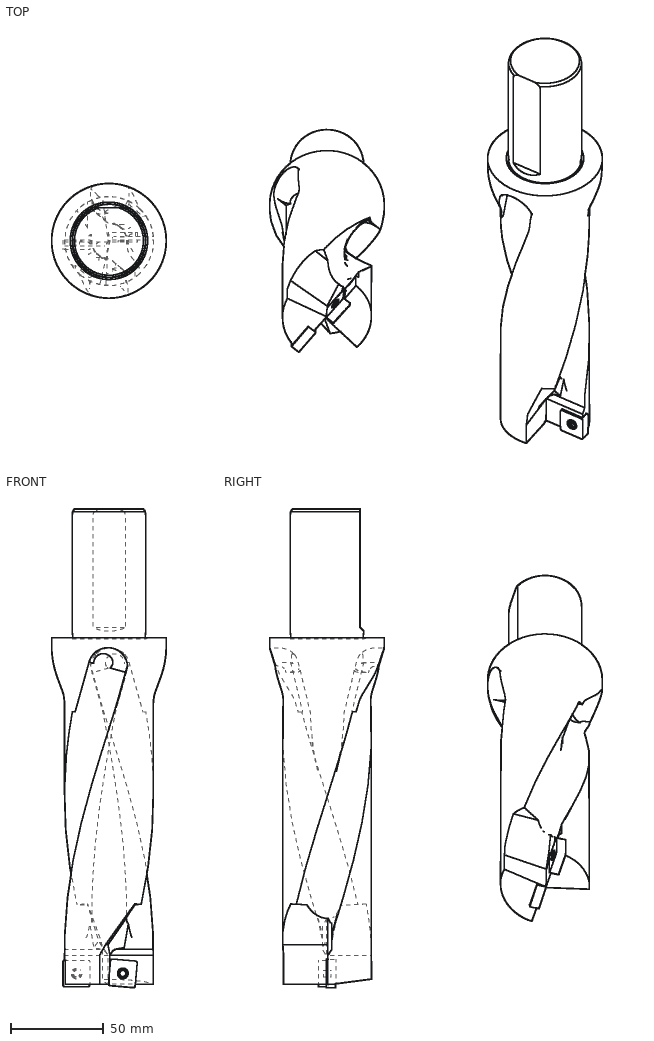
import cadquery as cq
import math

TOTAL_LENGTH = 260.0

SHANK_RADIUS = 40.0 / 2
SHANK_RELIEF_RADIUS = 39.5 / 2
SHANK_END_RADIUS = 18.7
SHANK_CHAMFER_HEIGHT = 1.5
SHANK_RELIEF_HEIGHT = 3.5
UNDERCUT_HEIGHT = 1.5
UNDERCUT_TAPER = 1.0
FLAT_OFFSET = 18.0
FLAT_BOTTOM = 195.8

FLANGE_RADIUS = 31.2
FLANGE_TOP = 190.0
FLANGE_RIM_BOTTOM = 185.5
FLANGE_GROOVE_RADIUS = 21.0
FLANGE_GROOVE_DEPTH = 0.5
BELL_RADIUS = 52.0
BELL_BOTTOM = 154.7

BODY_RADIUS = 48.4 / 2
BODY_BOTTOM = 1.8
CLEARANCE_ANGLE = 7.5

FLUTE_TWIST_RATE = 0.75
FLUTE_TOP = 149.8
FLUTE_BOTTOM = 20.8
FLUTE_LEAD = (-19.8, -13.8)
FLUTE_LEAD_SLOPE = 0.3
FLUTE_HOLLOW = (-5.7, -9.4)
FLUTE_CORNER = (3.5, -14.8)
FLUTE_WALL_X = 2.9

RUNOUT_RADIUS = 10.7
RUNOUT_END_X = -0.5
RUNOUT_END_Z = 174.0
RUNOUT_BALL_Y = -25.7
RUNOUT_SIDE_SLOPE = 0.28
RUNOUT_RAMP = 0.24

POCKET_LAND_Y = 0.5
POCKET_RAKE_Y = 2.5
POCKET_LAND_TOP = 17.7
POCKET_STEP_TOP = 20.8
POCKET_WEB_X = 0.5
POCKET_RAKE_X = 2.5
POCKET_WALL_LEAN = 1.3
RAKE_KNEE = (8.3, 21.8)
RAKE_TOP = (11.5, 40.3)
INNER_POCKET_SIDE_X = -5.2
INNER_POCKET_KNEE = (-1.8, 23.5)
INNER_POCKET_TOP = (14.0, 45.8)
OUTER_POCKET_SIDE_X = 3.6
OUTER_POCKET_KNEE = (4.5, 25.7)
OUTER_POCKET_TOP = (11.7, 45.8)

INSERT_SIDE = 14.5
INSERT_CORNER = 1.0
INSERT_THICKNESS = 5.2
INSERT_RAKE_Y = -0.5
INNER_INSERT_X = 7.5
INNER_INSERT_TILT = 5.0
OUTER_INSERT_REACH = 25.0
OUTER_INSERT_BOTTOM = 0.5
SCREW_STEP_DIAMETERS = (5.7, 4.7, 3.5)
SCREW_STEP_DEPTHS = (0.5, 1.0, 2.5)

NOSE_MARGIN = 2.5
BEYOND = 36.5


def holder_blank():
    """Shank, flange, bell and drill body as one revolved shape."""
    bell_center_x = FLANGE_RADIUS - BELL_RADIUS
    across = BODY_RADIUS - bell_center_x
    drop = FLANGE_RIM_BOTTOM - BELL_BOTTOM
    fillet = (across**2 + drop**2 - BELL_RADIUS**2) / (2 * (BELL_RADIUS - across))
    joint_angle = math.atan2(drop, across + fillet)
    bell_foot = (
        bell_center_x + BELL_RADIUS * math.cos(joint_angle),
        FLANGE_RIM_BOTTOM - BELL_RADIUS * math.sin(joint_angle),
    )
    groove_floor = FLANGE_TOP - FLANGE_GROOVE_DEPTH
    undercut_top = FLANGE_TOP + UNDERCUT_HEIGHT
    return (
        cq.Workplane("XZ")
        .moveTo(0, 0)
        .lineTo(BODY_RADIUS, 0)
        .lineTo(BODY_RADIUS, BELL_BOTTOM)
        .spline(
            [bell_foot, (FLANGE_RADIUS, FLANGE_RIM_BOTTOM)],
            tangents=[(0, 1), (0, 1)],
            includeCurrent=True,
        )
        .lineTo(FLANGE_RADIUS, FLANGE_TOP)
        .lineTo(FLANGE_GROOVE_RADIUS, FLANGE_TOP)
        .lineTo(SHANK_RADIUS, groove_floor)
        .lineTo(SHANK_RELIEF_RADIUS, groove_floor)
        .lineTo(SHANK_RELIEF_RADIUS, undercut_top)
        .lineTo(SHANK_RADIUS, undercut_top + UNDERCUT_TAPER)
        .lineTo(SHANK_RADIUS, TOTAL_LENGTH - SHANK_RELIEF_HEIGHT)
        .lineTo(SHANK_RELIEF_RADIUS, TOTAL_LENGTH - SHANK_CHAMFER_HEIGHT)
        .lineTo(SHANK_END_RADIUS, TOTAL_LENGTH)
        .lineTo(0, TOTAL_LENGTH)
        .close()
        .revolve(360, (0, 0, 0), (0, 1, 0))
    )


def clamping_flat():
    """Cutter for the shank flat, with a 45 degree lower end."""
    return (
        cq.Workplane("YZ")
        .polyline(
            [
                (FLAT_OFFSET, FLAT_BOTTOM),
                (FLANGE_RADIUS, FLAT_BOTTOM - (FLANGE_RADIUS - FLAT_OFFSET)),
                (FLANGE_RADIUS, TOTAL_LENGTH),
                (FLAT_OFFSET, TOTAL_LENGTH),
            ]
        )
        .close()
        .extrude(FLANGE_RADIUS, both=True)
        .intersect(
            cq.Workplane("XY", origin=(0, 0, FLANGE_TOP))
            .circle(SHANK_RADIUS)
            .extrude(TOTAL_LENGTH - FLANGE_TOP)
        )
    )


def end_clearance():
    """Cutter that levels the nose and slopes it up towards +Y."""
    rise = BEYOND * math.tan(math.radians(CLEARANCE_ANGLE))
    return (
        cq.Workplane("YZ")
        .polyline(
            [
                (-BEYOND, -NOSE_MARGIN),
                (-BEYOND, BODY_BOTTOM),
                (POCKET_RAKE_Y, BODY_BOTTOM),
                (POCKET_RAKE_Y + BEYOND, BODY_BOTTOM + rise),
                (POCKET_RAKE_Y + BEYOND, -NOSE_MARGIN),
            ]
        )
        .close()
        .extrude(BEYOND, both=True)
    )


def flute_section(height):
    """Flute cross-section: a floor that hollows into a rounded corner, then a steep wall."""
    return (
        cq.Workplane("XY", origin=(0, 0, height))
        .moveTo(-BEYOND, FLUTE_LEAD[1])
        .lineTo(*FLUTE_LEAD)
        .spline(
            [FLUTE_HOLLOW, FLUTE_CORNER],
            tangents=[(1, FLUTE_LEAD_SLOPE), (0, -1)],
            includeCurrent=True,
        )
        .lineTo(FLUTE_WALL_X, -BODY_RADIUS)
        .lineTo(FLUTE_WALL_X, -BEYOND)
        .lineTo(-BEYOND, -BEYOND)
        .close()
    )


def helical_flute():
    """Twisted groove along the body."""
    height = FLUTE_TOP - FLUTE_BOTTOM
    twist = FLUTE_TWIST_RATE * height
    groove = flute_section(FLUTE_BOTTOM).twistExtrude(height, twist)
    return groove.rotate((0, 0, 0), (0, 0, 1), -twist)


def flute_runout():
    """Straight continuation of the flute that climbs out of the bell to a ball end."""
    profile = flute_section(FLUTE_TOP).wire().val()
    path = cq.Vector(RUNOUT_SIDE_SLOPE, -RUNOUT_RAMP, 1)
    ramp = cq.Workplane(cq.Solid.extrudeLinear(profile, [], path * BEYOND))
    side = cq.Plane(
        origin=(RUNOUT_END_X, 0, RUNOUT_END_Z), xDir=(RUNOUT_SIDE_SLOPE, 0, 1), normal=(0, -1, 0)
    )
    slot = (
        cq.Workplane(side)
        .center(-BEYOND / 2, 0)
        .rect(BEYOND, 2 * RUNOUT_RADIUS)
        .extrude(BEYOND)
    )
    ball = cq.Workplane("XY").sphere(RUNOUT_RADIUS)
    shaft = cq.Workplane("XZ").circle(RUNOUT_RADIUS).extrude(BEYOND)
    ball_end = ball.union(shaft).translate((RUNOUT_END_X, RUNOUT_BALL_Y, RUNOUT_END_Z))
    return ramp.intersect(slot.union(ball_end))


def insert_pocket(side_x, knee, top):
    """Open chip space at the nose.

    The side wall rises at side_x to the top of the insert seat, passes the knee and runs out
    into the flute at the top point, all on the body surface and the last two as (x, z).
    """
    seat = (
        cq.Workplane("XY", origin=(0, 0, -NOSE_MARGIN))
        .polyline(
            [
                (POCKET_WEB_X, POCKET_LAND_Y),
                (side_x, -BODY_RADIUS),
                (BEYOND, -BODY_RADIUS),
                (BEYOND, POCKET_LAND_Y),
            ]
        )
        .close()
        .extrude(POCKET_LAND_TOP + NOSE_MARGIN)
    )

    def opening(section, side):
        """One section of the space above the seat, open towards +X."""
        bottom = side[0][1]
        ceiling = side[-1][1]
        return section.polyline([*side, (BEYOND, ceiling), (BEYOND, bottom)]).close()

    rake_side = [(POCKET_RAKE_X, POCKET_STEP_TOP), RAKE_KNEE, RAKE_TOP]
    land_side = [
        (POCKET_WEB_X, POCKET_LAND_TOP),
        (knee[0] + POCKET_WALL_LEAN, knee[1]),
        (top[0], top[1] - POCKET_WALL_LEAN),
    ]
    outer_side = [(side_x, POCKET_LAND_TOP), knee, top]
    space = opening(cq.Workplane("XZ", origin=(0, POCKET_RAKE_Y, 0)), rake_side)
    space = opening(space.workplane(offset=POCKET_RAKE_Y - POCKET_LAND_Y), land_side)
    space = opening(space.workplane(offset=POCKET_LAND_Y + BODY_RADIUS), outer_side)
    return seat.union(space.loft(ruled=True))


def half_turn(shape):
    """Copy turned half round the tool axis."""
    return shape.rotate((0, 0, 0), (0, 0, 1), 180)


def cutting_insert(center_x, center_z, tilt):
    """Matching seat cutter and square insert facing -Y, with a stepped screw recess."""
    plate = (
        cq.Workplane("XZ")
        .rect(INSERT_SIDE, INSERT_SIDE)
        .extrude(-INSERT_THICKNESS)
        .edges("|Y")
        .fillet(INSERT_CORNER)
    )
    seat = plate.rotate((0, 0, 0), (0, 1, 0), tilt)
    insert = seat
    for diameter, depth in zip(SCREW_STEP_DIAMETERS, SCREW_STEP_DEPTHS):
        insert = insert.cut(cq.Workplane("XZ").circle(diameter / 2).extrude(-depth))
    place = (center_x, INSERT_RAKE_Y, center_z)
    return seat.translate(place), insert.translate(place)


tilt = math.radians(INNER_INSERT_TILT)
core = INSERT_SIDE / 2 - INSERT_CORNER
inner_z = core * (math.cos(tilt) + math.sin(tilt)) + INSERT_CORNER
inner_seat, inner_insert = cutting_insert(INNER_INSERT_X, inner_z, INNER_INSERT_TILT)
outer_seat, outer_insert = cutting_insert(
    OUTER_INSERT_REACH - INSERT_SIDE / 2, OUTER_INSERT_BOTTOM + INSERT_SIDE / 2, 0
)
outer_seat = half_turn(outer_seat)
outer_insert = half_turn(outer_insert)

holder = holder_blank().cut(clamping_flat()).cut(end_clearance())
for cutter in (helical_flute(), flute_runout()):
    holder = holder.cut(cutter).cut(half_turn(cutter))
holder = holder.cut(insert_pocket(INNER_POCKET_SIDE_X, INNER_POCKET_KNEE, INNER_POCKET_TOP))
outer_pocket = insert_pocket(OUTER_POCKET_SIDE_X, OUTER_POCKET_KNEE, OUTER_POCKET_TOP)
holder = holder.cut(half_turn(outer_pocket))
holder = holder.cut(inner_seat).cut(outer_seat)

result = cq.Compound.makeCompound([holder.val(), inner_insert.val(), outer_insert.val()])